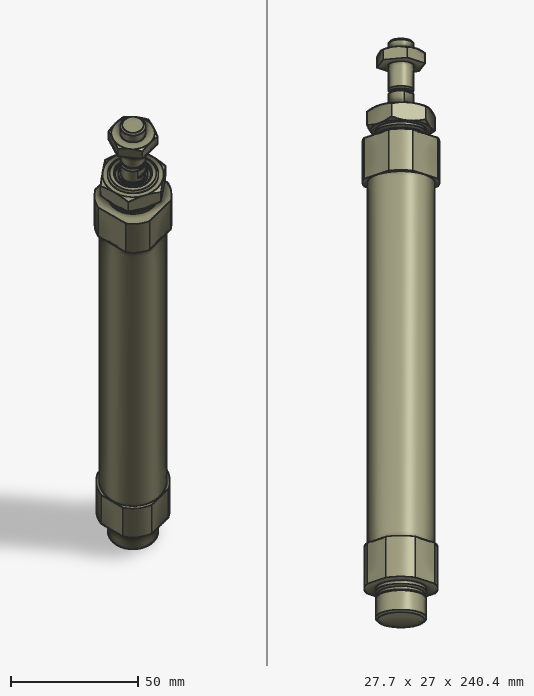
import cadquery as cq
import math

total_height = 240.4

nose_length = 13.0
cap_length = 17.0
head_drop = 41.5
tube_diameter = 26.5
cap_across_flats = 27.0
upper_cap_diameter = 30.3
lower_cap_diameter = 29.0
thread_diameter = 20.0
thread_root_diameter = 18.38
nose_shoulder = 1.4
upper_undercut_diameter = 18.0
upper_undercut_flat = 0.3
lower_undercut_diameter = thread_root_diameter
lower_undercut_flat = 1.2
wiper_groove_diameter = 14.1
wiper_groove_depth = 1.0
wiper_groove_chamfer = 0.5
wiper_lip_diameter = 11.7

rod_diameter = 10.0
rod_tip_diameter = 8.4
rod_thread_length = 20.0
groove_diameter = 8.57
groove_length = 2.0
wrench_across_flats = 8.65
wrench_flat_length = 4.5

rod_nut_across_flats = 17.0
rod_nut_thickness = 5.0
rod_nut_drop = 4.8
mounting_nut_across_flats = 24.0
mounting_nut_thickness = 7.5
mounting_nut_drop = 0.7
nut_chamfer_angle = 30.0

lower_cap_bottom = nose_length
lower_cap_top = lower_cap_bottom + cap_length
upper_cap_top = total_height - head_drop
upper_cap_bottom = upper_cap_top - cap_length
upper_nose_top = upper_cap_top + nose_length
rod_thread_end = total_height - rod_thread_length
groove_bottom = rod_thread_end - groove_length


def cylinder(diameter, bottom, top):
    return cq.Workplane("XY").workplane(offset=bottom).circle(diameter / 2).extrude(top - bottom)


def flatted_cap(diameter, bottom):
    """Round cap with four flats, facing +-X and +-Y."""
    cap = cylinder(diameter, bottom, bottom + cap_length)
    square = (
        cq.Workplane("XY")
        .workplane(offset=bottom)
        .rect(cap_across_flats, cap_across_flats)
        .extrude(cap_length)
    )
    return cap.intersect(square)


def threaded_nose(cap_face, direction, undercut_diameter, undercut_flat):
    """Nose standing on a cap face: shoulder, undercut with 45 degree sides, thread and end chamfer."""
    thread_radius = thread_diameter / 2
    undercut_radius = undercut_diameter / 2
    tip_radius = thread_root_diameter / 2
    slope = thread_radius - undercut_radius
    undercut_start = nose_shoulder + slope
    undercut_end = undercut_start + undercut_flat
    outline = [
        (0, 0),
        (thread_radius, 0),
        (thread_radius, nose_shoulder),
        (undercut_radius, undercut_start),
        (undercut_radius, undercut_end),
        (thread_radius, undercut_end + slope),
        (thread_radius, nose_length - (thread_radius - tip_radius)),
        (tip_radius, nose_length),
        (0, nose_length),
    ]
    points = [(radius, cap_face + direction * height) for radius, height in outline]
    return cq.Workplane("XZ").polyline(points).close().revolve(360, (0, 0, 0), (0, 1, 0))


def make_wiper_groove():
    """Ring cut into the upper nose's end, leaving a rod wiper lip between it and the rod."""
    outer_radius = wiper_groove_diameter / 2
    lip_radius = wiper_lip_diameter / 2
    floor = upper_nose_top - wiper_groove_depth
    outline = [
        (lip_radius, floor),
        (outer_radius, floor),
        (outer_radius, upper_nose_top - wiper_groove_chamfer),
        (outer_radius + wiper_groove_chamfer, upper_nose_top),
        (lip_radius, upper_nose_top),
    ]
    return cq.Workplane("XZ").polyline(outline).close().revolve(360, (0, 0, 0), (0, 1, 0))


def make_housing():
    tube = cylinder(tube_diameter, lower_cap_top, upper_cap_bottom)
    lower_cap = flatted_cap(lower_cap_diameter, lower_cap_bottom)
    upper_cap = flatted_cap(upper_cap_diameter, upper_cap_bottom)
    lower_nose = threaded_nose(lower_cap_bottom, -1, lower_undercut_diameter, lower_undercut_flat)
    upper_nose = threaded_nose(upper_cap_top, 1, upper_undercut_diameter, upper_undercut_flat)
    rod_bore = cylinder(rod_diameter, upper_cap_bottom, upper_nose_top)
    wiper_groove = make_wiper_groove()
    body = tube.union(lower_cap).union(upper_cap).union(lower_nose).union(upper_nose)
    return body.cut(rod_bore).cut(wiper_groove)


def make_rod():
    """Rod seated at the base of the upper cap, with a thread-relief groove and two wrench flats."""
    rod_radius = rod_diameter / 2
    groove_radius = groove_diameter / 2
    tip_radius = rod_tip_diameter / 2
    groove_chamfer = rod_radius - groove_radius
    outline = [
        (0, upper_cap_bottom),
        (rod_radius, upper_cap_bottom),
        (rod_radius, groove_bottom),
        (groove_radius, groove_bottom + groove_chamfer),
        (groove_radius, rod_thread_end - groove_chamfer),
        (rod_radius, rod_thread_end),
        (rod_radius, total_height - (rod_radius - tip_radius)),
        (tip_radius, total_height),
        (0, total_height),
    ]
    rod = cq.Workplane("XZ").polyline(outline).close().revolve(360, (0, 0, 0), (0, 1, 0))
    for side in (-1, 1):
        flat_cut = (
            cq.Workplane("XY")
            .workplane(offset=groove_bottom - wrench_flat_length)
            .center(side * (wrench_across_flats + rod_diameter) / 2, 0)
            .rect(rod_diameter, rod_diameter)
            .extrude(wrench_flat_length)
        )
        rod = rod.cut(flat_cut)
    return rod


def make_nut(across_flats, thickness, top, bore, corner_angle, both_ends):
    """Hexagon nut, its corners turned by corner_angle from X; the corners are coned off at the top
    and, if both_ends is set, at the bottom too."""
    across_corners = across_flats / math.cos(math.radians(30))
    bottom = top - thickness
    corner_radius = across_corners / 2
    face_radius = across_flats / 2
    drop = (corner_radius - face_radius) * math.tan(math.radians(nut_chamfer_angle))
    hexagon = (
        cq.Workplane("XY")
        .workplane(offset=bottom)
        .polygon(6, across_corners)
        .extrude(thickness)
        .rotate((0, 0, 0), (0, 0, 1), corner_angle)
    )
    outline = [(corner_radius, top - drop), (face_radius, top), (0, top), (0, bottom)]
    if both_ends:
        outline += [(face_radius, bottom), (corner_radius, bottom + drop)]
    else:
        outline += [(corner_radius, bottom)]
    cones = cq.Workplane("XZ").polyline(outline).close().revolve(360, (0, 0, 0), (0, 1, 0))
    return hexagon.intersect(cones).cut(cylinder(bore, bottom, top))


housing = make_housing()
rod = make_rod()
rod_nut = make_nut(
    rod_nut_across_flats, rod_nut_thickness, total_height - rod_nut_drop, rod_diameter, 90, False
)
mounting_nut = make_nut(
    mounting_nut_across_flats,
    mounting_nut_thickness,
    upper_nose_top - mounting_nut_drop,
    thread_diameter,
    0,
    True,
)

result = cq.Compound.makeCompound(
    [housing.val(), rod.val(), rod_nut.val(), mounting_nut.val()]
)